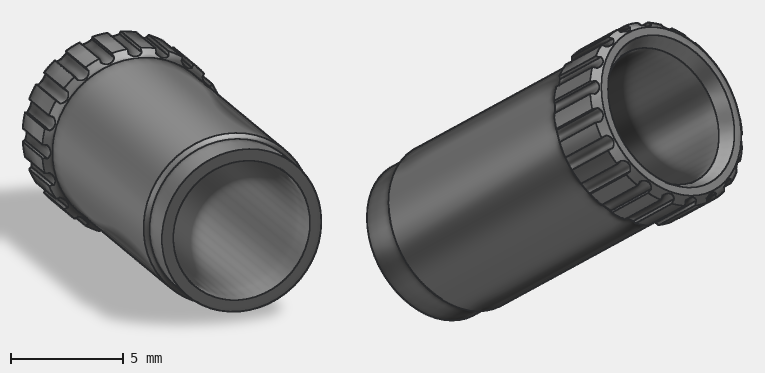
import cadquery as cq
import math

length = 17.0
body_diameter = 8.0
spigot_diameter = 7.58
spigot_length = 1.6
bore_diameter = 6.5

collar_diameter = 8.72
collar_length = 3.3

countersink_diameter = 7.25
countersink_depth = 0.65

flute_count = 20
flute_width = 0.63
flute_bottom_radius = 4.06
flute_floor_curvature = 0.5

body_radius = body_diameter / 2
spigot_radius = spigot_diameter / 2
bore_radius = bore_diameter / 2
collar_radius = collar_diameter / 2
countersink_radius = countersink_diameter / 2

collar_chamfer = collar_radius - body_radius
shoulder_chamfer = body_radius - spigot_radius
shoulder_end = length - spigot_length


def make_sleeve():
    """Revolve the wall section (axial position, radius) around the X axis."""
    section = [
        (0, countersink_radius),
        (0, body_radius),
        (collar_chamfer, collar_radius),
        (collar_length - collar_chamfer, collar_radius),
        (collar_length, body_radius),
        (shoulder_end - shoulder_chamfer, body_radius),
        (shoulder_end, spigot_radius),
        (length, spigot_radius),
        (length, bore_radius),
        (countersink_depth, bore_radius),
    ]
    return cq.Workplane("XY").polyline(section).close().revolve(360, (0, 0, 0), (1, 0, 0))


def make_flute():
    """Cutter with straight walls and a shallow rounded floor, on the +Z side of the collar."""
    half_width = flute_width / 2
    floor_sag = flute_floor_curvature - math.sqrt(flute_floor_curvature**2 - half_width**2)
    wall_bottom = flute_bottom_radius + floor_sag
    return (
        cq.Workplane("YZ")
        .moveTo(-half_width, collar_radius)
        .lineTo(-half_width, wall_bottom)
        .threePointArc((0, flute_bottom_radius), (half_width, wall_bottom))
        .lineTo(half_width, collar_radius)
        .close()
        .extrude(collar_length)
    )


result = make_sleeve()
flute = make_flute()
for index in range(flute_count):
    angle = 360 * index / flute_count
    result = result.cut(flute.rotate((0, 0, 0), (1, 0, 0), angle))